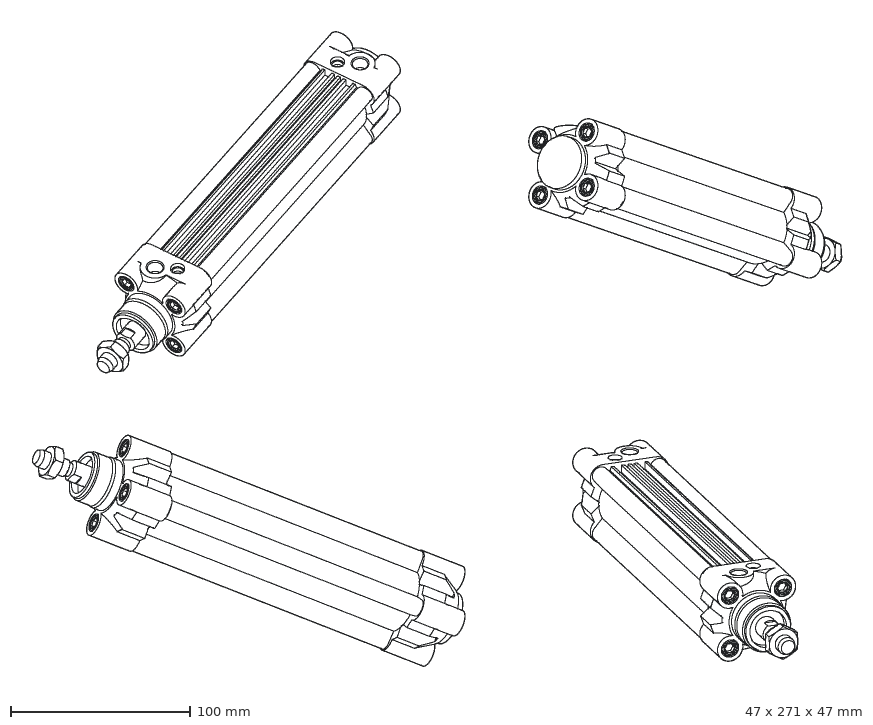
import cadquery as cq
import math


TOTAL_LENGTH = 271.0
BARREL_LENGTH = 165.9
CAP_LENGTH = 26.8
REAR_BOSS_LENGTH = 3.8
HALF_BARREL = BARREL_LENGTH / 2
CAP_FACE = HALF_BARREL + CAP_LENGTH
ROD_TIP = CAP_FACE + REAR_BOSS_LENGTH - TOTAL_LENGTH

HEXAGON_SIDES = 6

CAP_WIDTH = 47.0
CAP_HALF = CAP_WIDTH / 2
POST_RADIUS = 7.5
POST_OFFSET = CAP_HALF - POST_RADIUS
FULL_SECTION_LENGTH = 15.0
CONE_START_RADIUS = 23.3
CONE_END_RADIUS = 16.5

LUG_HALF = 23.0
LUG_TIP = 5.1
LUG_ROOT_HALF = 20.5
LUG_ROOT = 11.7
NOTCH_BOTTOM = 16.8
NOTCH_LENGTH = 22.5

SCREW_RECESS_DIAMETER = 10.3
SCREW_HEAD_DIAMETER = 8.7
SCREW_RECESS_DEPTH = 2.2
SOCKET_RIM_DIAMETER = 7.0
SOCKET_ACROSS_CORNERS = 6.0
SOCKET_DEPTH = 3.3

PORT_X = -5.5
PORT_FROM_JOINT = 13.3
PORT_BOSS_RADIUS = 8.5
PORT_DIAMETER = 8.7
PORT_RIM_DIAMETER = 10.0
PORT_DEPTH = 8.0
CUSHION_X = 5.7
CUSHION_FROM_JOINT = 7.3
CUSHION_RECESS_DIAMETER = 7.9
CUSHION_RECESS_DEPTH = 2.7
CUSHION_BORE_DIAMETER = 6.2
CUSHION_BORE_DEPTH = 5.5
CUSHION_SOCKET_DIAMETER = 3.5
CUSHION_SOCKET_DEPTH = 7.0

COLLAR_DIAMETER = 30.0
COLLAR_LENGTH = 5.0
COLLAR_SHOULDER_END = 6.5
GUIDE_DIAMETER = 29.0
GUIDE_END = 15.2
NOSE_DIAMETER = 26.8
NOSE_START = 15.7
NOSE_END = 17.5
SEAL_RECESS_DIAMETER = 22.0
SEAL_RECESS_DEPTH = 4.0

BARREL_HALF = 22.2
LOBE_RADIUS = 5.0
LOBE_OFFSET = BARREL_HALF - LOBE_RADIUS
LOBE_EDGE = 14.4
BULGE_RADIUS = 18.5
BULGE_EDGE = 8.7
TOP_LAND = 21.5
TOP_LAND_EDGE = 10.8
TROUGH_HEIGHT = 19.2
TROUGH_EDGES = (11.7, 12.5)
SLOT_LAYOUT = [(2.0, 2.0, 2.7), (7.0, 4.5, 4.3)]

ROD_DIAMETER = 12.0
THREAD_DIAMETER = 10.0
NECK_DIAMETER = 7.9
TIP_DIAMETER = 8.0
TIP_BEVEL_LENGTH = 2.5
THREAD_LENGTH = 19.0
NECK_END = 21.7
ROD_SHOULDER = 22.8
FLATS_START = NECK_END
FLATS_LENGTH = 6.0
FLATS_WIDTH = 10.0

NUT_ACROSS_FLATS = 17.0
NUT_LENGTH = 6.2
NUT_FROM_TIP = 6.8
NUT_BEVEL_ANGLE = math.radians(30)
NUT_CORNER_DIAMETER = NUT_ACROSS_FLATS / math.cos(math.pi / 6)


def cross_section(y):
    """Plane across the axis at y; extruding from it runs towards -Y."""
    return cq.Workplane("XZ", origin=(0, y, 0))


def rod_like(outline):
    """Solid of revolution about the Y axis from (radius, y) points."""
    return cq.Workplane("XY").polyline(outline).close().revolve(360, (0, 0), (0, 1))


def countersink(rim_diameter, hole_diameter):
    """Cutter for a 45 degree countersink that opens towards -Y at y = 0."""
    depth = (rim_diameter - hole_diameter) / 2
    return rod_like([(0, 0), (rim_diameter / 2, 0), (hole_diameter / 2, depth), (0, depth)])


def on_side(shape, quarter):
    """Turn a feature built on the +Z side by quarter turns about the axis."""
    return shape.rotate((0, 0, 0), (0, 1, 0), 90 * quarter)


def tapered_core():
    """Core of a cap: as wide as the posts allow beside the barrel, then tapering as a cone."""
    core = cross_section(0).rect(2 * POST_OFFSET, 2 * POST_OFFSET).extrude(FULL_SECTION_LENGTH)
    cone = rod_like([(0, -FULL_SECTION_LENGTH), (CONE_START_RADIUS, -FULL_SECTION_LENGTH),
                     (CONE_END_RADIUS, -CAP_LENGTH), (0, -CAP_LENGTH)])
    return core.union(cone.intersect(core_limits()))


def core_limits():
    """Cross of two slabs, ending at the post centres, that keeps the cone inside the posts."""
    slab = cross_section(0).rect(2 * POST_OFFSET, 2 * CAP_HALF).extrude(CAP_LENGTH)
    return slab.union(on_side(slab, 1))


def lug():
    """Raised lug between two posts, built on the +Z side."""
    return (
        cross_section(0)
        .polyline([(-LUG_ROOT, 0), (-LUG_ROOT, LUG_ROOT_HALF), (-LUG_TIP, LUG_HALF),
                   (LUG_TIP, LUG_HALF), (LUG_ROOT, LUG_ROOT_HALF), (LUG_ROOT, 0)])
        .close()
        .extrude(FULL_SECTION_LENGTH)
    )


def lug_notch():
    """V-shaped notch that splits a lug and runs on into the cone."""
    flare = LUG_TIP / (LUG_HALF - NOTCH_BOTTOM)
    top_half_width = flare * (CAP_HALF - NOTCH_BOTTOM)
    return (
        cross_section(0)
        .polyline([(-top_half_width, CAP_HALF), (0, NOTCH_BOTTOM), (top_half_width, CAP_HALF)])
        .close()
        .extrude(NOTCH_LENGTH)
    )


def top_hole(x, from_joint, diameter, depth):
    """Cutter for a blind round hole in the top of a cap."""
    return (
        cq.Workplane("XY", origin=(x, -from_joint, CAP_HALF - depth))
        .circle(diameter / 2)
        .extrude(depth)
    )


def port_pad():
    """Flat pad on top of a cap, with the round boss of the air port."""
    pad = cross_section(0).rect(2 * POST_OFFSET, 2 * CAP_HALF).extrude(FULL_SECTION_LENGTH)
    pad = pad.intersect(cq.Workplane("XY").box(
        2 * CAP_HALF, 2 * CAP_LENGTH, CAP_HALF, centered=(True, True, False)))
    boss = (
        cq.Workplane("XY", origin=(PORT_X, -PORT_FROM_JOINT, 0))
        .circle(PORT_BOSS_RADIUS)
        .extrude(CAP_HALF)
    )
    return pad.union(boss)


def cap_body():
    """End cap reaching from the barrel joint at y = 0 to its outer face at -CAP_LENGTH."""
    post_centres = cross_section(0).rect(2 * POST_OFFSET, 2 * POST_OFFSET, forConstruction=True)
    posts = post_centres.vertices().circle(POST_RADIUS).extrude(CAP_LENGTH)
    body = tapered_core().union(posts)
    for quarter in (1, 2, 3):
        body = body.union(on_side(lug(), quarter))
        body = body.cut(on_side(lug_notch(), quarter))
    body = body.union(port_pad())
    return cut_post_screws(cut_top_holes(body))


def cut_top_holes(body):
    """Air port with a countersunk rim, and the stepped recess of the cushion screw."""
    rim = countersink(PORT_RIM_DIAMETER, PORT_DIAMETER)
    rim = rim.rotate((0, 0, 0), (1, 0, 0), -90).translate((PORT_X, -PORT_FROM_JOINT, CAP_HALF))
    body = body.cut(rim)
    for x, from_joint, diameter, depth in (
        (PORT_X, PORT_FROM_JOINT, PORT_DIAMETER, PORT_DEPTH),
        (CUSHION_X, CUSHION_FROM_JOINT, CUSHION_RECESS_DIAMETER, CUSHION_RECESS_DEPTH),
        (CUSHION_X, CUSHION_FROM_JOINT, CUSHION_BORE_DIAMETER, CUSHION_BORE_DEPTH),
        (CUSHION_X, CUSHION_FROM_JOINT, CUSHION_SOCKET_DIAMETER, CUSHION_SOCKET_DEPTH),
    ):
        body = body.cut(top_hole(x, from_joint, diameter, depth))
    return body


def cut_post_screws(body):
    """Ring recess around a screw head with a hexagon socket, in the end of every post."""
    for x in (-POST_OFFSET, POST_OFFSET):
        for z in (-POST_OFFSET, POST_OFFSET):
            ring = (
                cross_section(-CAP_LENGTH).center(x, z)
                .circle(SCREW_RECESS_DIAMETER / 2)
                .circle(SCREW_HEAD_DIAMETER / 2)
                .extrude(-SCREW_RECESS_DEPTH)
            )
            socket = (
                cross_section(-CAP_LENGTH).center(x, z)
                .polygon(HEXAGON_SIDES, SOCKET_ACROSS_CORNERS)
                .extrude(-SOCKET_DEPTH)
            )
            rim = countersink(SOCKET_RIM_DIAMETER, SOCKET_ACROSS_CORNERS)
            body = body.cut(ring).cut(socket).cut(rim.translate((x, -CAP_LENGTH, z)))
    return body


def make_front_cap():
    """Front cap with its stepped collar and the bore that guides the rod."""
    outline = [(0, 0)]
    for diameter, distance in (
        (COLLAR_DIAMETER, 0),
        (COLLAR_DIAMETER, COLLAR_LENGTH),
        (GUIDE_DIAMETER, COLLAR_SHOULDER_END),
        (GUIDE_DIAMETER, GUIDE_END),
        (NOSE_DIAMETER, NOSE_START),
        (NOSE_DIAMETER, NOSE_END),
    ):
        outline.append((diameter / 2, -distance))
    outline.append((0, -NOSE_END))
    collar = rod_like(outline).translate((0, -CAP_LENGTH, 0))
    nose_face = -CAP_LENGTH - NOSE_END
    rod_bore = cross_section(0).circle(ROD_DIAMETER / 2).extrude(-nose_face)
    seal_recess = (
        cross_section(nose_face).circle(SEAL_RECESS_DIAMETER / 2).extrude(-SEAL_RECESS_DEPTH)
    )
    cap = cap_body().union(collar).cut(rod_bore).cut(seal_recess)
    return cap.translate((0, -HALF_BARREL, 0))


def make_rear_cap():
    """Rear cap: the same body turned half round about Z, with a short centring boss."""
    boss = cross_section(-CAP_LENGTH).circle(COLLAR_DIAMETER / 2).extrude(REAR_BOSS_LENGTH)
    cap = cap_body().union(boss).rotate((0, 0, 0), (0, 0, 1), 180)
    return cap.translate((0, HALF_BARREL, 0))


def make_barrel():
    """Barrel with four corner lobes, three bulged sides and a slotted top."""
    lobe_rise = math.sqrt(LOBE_RADIUS**2 - (LOBE_OFFSET - LOBE_EDGE)**2)
    lobe_side = LOBE_OFFSET + lobe_rise
    lobe_corner = LOBE_OFFSET + LOBE_RADIUS / math.sqrt(2)
    bulge_side = math.sqrt(BULGE_RADIUS**2 - BULGE_EDGE**2)
    barrel = (
        cross_section(HALF_BARREL)
        .moveTo(0, TOP_LAND)
        .lineTo(TOP_LAND_EDGE, TOP_LAND)
        .lineTo(TROUGH_EDGES[0], TROUGH_HEIGHT)
        .lineTo(TROUGH_EDGES[1], TROUGH_HEIGHT)
        .lineTo(LOBE_EDGE, lobe_side)
        .threePointArc((lobe_corner, lobe_corner), (lobe_side, LOBE_EDGE))
        .lineTo(bulge_side, BULGE_EDGE)
        .threePointArc((BULGE_RADIUS, 0), (bulge_side, -BULGE_EDGE))
        .lineTo(lobe_side, -LOBE_EDGE)
        .threePointArc((lobe_corner, -lobe_corner), (LOBE_EDGE, -lobe_side))
        .lineTo(BULGE_EDGE, -bulge_side)
        .threePointArc((BULGE_RADIUS * math.sin(BULGE_EDGE / BULGE_RADIUS / 2),
                        -BULGE_RADIUS * math.cos(BULGE_EDGE / BULGE_RADIUS / 2)),
                       (0, -BULGE_RADIUS))
        .mirrorY()
        .extrude(BARREL_LENGTH)
    )
    for centre, width, depth in SLOT_LAYOUT:
        for side in (-1, 1):
            slot = cq.Workplane("XY").box(width, BARREL_LENGTH, 2 * depth)
            barrel = barrel.cut(slot.translate((side * centre, 0, TOP_LAND)))
    return barrel


def make_rod():
    """Piston rod: plain shank with two wrench flats, a neck and a threaded end."""
    outline = [(0, 0)]
    for diameter, distance in (
        (TIP_DIAMETER, 0),
        (THREAD_DIAMETER, TIP_BEVEL_LENGTH),
        (THREAD_DIAMETER, THREAD_LENGTH),
        (NECK_DIAMETER, THREAD_LENGTH),
        (NECK_DIAMETER, NECK_END),
        (ROD_DIAMETER, ROD_SHOULDER),
        (ROD_DIAMETER, -HALF_BARREL - ROD_TIP),
    ):
        outline.append((diameter / 2, distance))
    outline.append((0, -HALF_BARREL - ROD_TIP))
    rod = rod_like(outline)
    for side in (-1, 1):
        beyond_flat = cq.Workplane("XY").box(
            ROD_DIAMETER, FLATS_LENGTH, ROD_DIAMETER, centered=(True, False, True))
        rod = rod.cut(beyond_flat.translate(
            (0, FLATS_START, side * (FLATS_WIDTH + ROD_DIAMETER) / 2)))
    return rod.translate((0, ROD_TIP, 0))


def make_nut():
    """Hexagon nut with bevelled corners, two of them on the vertical centre plane."""
    prism = (
        cross_section(NUT_LENGTH)
        .transformed(rotate=(0, 0, 90))
        .polygon(HEXAGON_SIDES, NUT_CORNER_DIAMETER)
        .circle(THREAD_DIAMETER / 2)
        .extrude(NUT_LENGTH)
    )
    corner_radius = NUT_CORNER_DIAMETER / 2
    face_radius = NUT_ACROSS_FLATS / 2
    bevel = (corner_radius - face_radius) * math.tan(NUT_BEVEL_ANGLE)
    bevelled_disc = rod_like([
        (0, 0), (face_radius, 0), (corner_radius, bevel),
        (corner_radius, NUT_LENGTH - bevel), (face_radius, NUT_LENGTH), (0, NUT_LENGTH)])
    return prism.intersect(bevelled_disc).translate((0, ROD_TIP + NUT_FROM_TIP, 0))


front_cap = make_front_cap()
rear_cap = make_rear_cap()
barrel = make_barrel()
rod = make_rod()
nut = make_nut()

result = cq.Compound.makeCompound(
    [front_cap.val(), rear_cap.val(), barrel.val(), rod.val(), nut.val()]
)